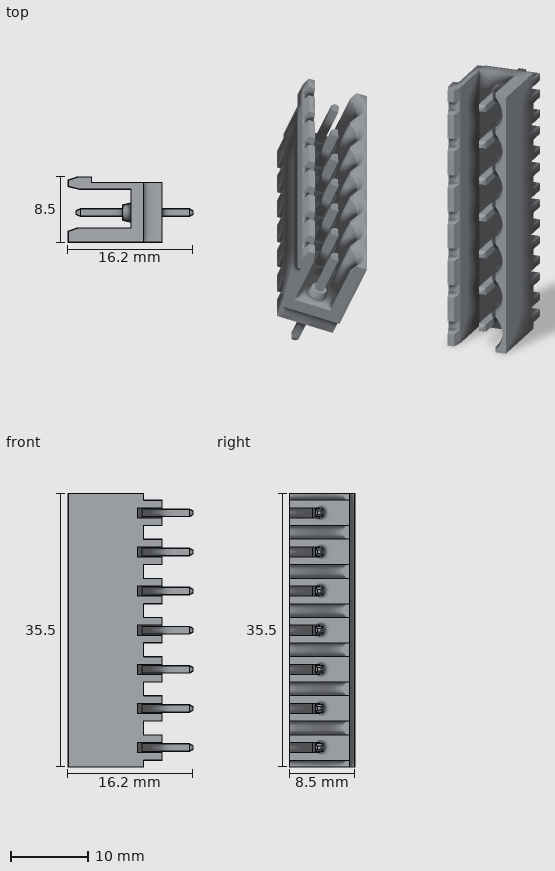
import cadquery as cq

LENGTH = 35.55
POLES = 7
PITCH = LENGTH / POLES
POLE_HEIGHTS = [PITCH * (pole + 0.5) for pole in range(POLES)]

BODY_DEPTH = 12.2
BODY_WIDTH = 7.8
FLOOR_X = 8.15
CAVITY_BOTTOM = 1.9
CAVITY_TOP = 6.9

LATCH_LENGTH = 3.02
LATCH_Y = 8.5
LATCH_LEAD = 1.2
LATCH_RIM_Y = 8.1
LATCH_INNER_LEAD = 1.45
LATCH_INNER_RIM_Y = 7.25

NOTCH_DEPTH = 1.2
NOTCH_MOUTH = 1.75
NOTCH_FLOOR = 1.4

SCALLOP_RADIUS = 3.0
SCALLOP_LEAD = 1.2
SCALLOP_FLARE = 0.43

TOOTH_ROOT_X = 9.78
TOOTH_HEIGHT = 3.3
SLOT_HEIGHT = 1.3
SLOT_X = 9.0
SLOT_STEP_X = 9.55

PIN_Y = 3.88
PIN_SIZE = 1.0
PIN_TIP_SIZE = 0.45
PIN_FRONT_X = 1.0
PIN_REAR_X = 16.2
FRONT_TIP_LENGTH = 0.57
REAR_TIP_LENGTH = 0.5
PIN_FRONT_FACE = PIN_Y - PIN_SIZE / 2
SLOT_STEP_INSET = 0.35
SLOT_STEP_DEPTH = PIN_FRONT_FACE - SLOT_STEP_INSET

COLLAR_X = 7.08
COLLAR_BASE_RADIUS = 1.25
COLLAR_TIP_RADIUS = 1.0


def box_between(x_range, y_range, z_range):
    """Box filling the given (low, high) ranges."""
    sizes = [high - low for low, high in (x_range, y_range, z_range)]
    corner = (x_range[0], y_range[0], z_range[0])
    return cq.Workplane("XY").box(*sizes, centered=False).translate(corner)


def centred_range(middle, size):
    return (middle - size / 2, middle + size / 2)


def cone_along_x(x_start, x_end, start_radius, end_radius, z):
    """Solid of revolution on a pin axis, with different radii at its two ends."""
    profile = [(x_start, 0), (x_start, start_radius), (x_end, end_radius), (x_end, 0)]
    cone = cq.Workplane("XY").polyline(profile).close().revolve(360, (0, 0, 0), (1, 0, 0))
    return cone.translate((0, PIN_Y, z))


def make_housing():
    """Channel section with a lead-in on both walls and the latch ridge."""
    outline = [
        (0, 0),
        (BODY_DEPTH, 0),
        (BODY_DEPTH, BODY_WIDTH),
        (LATCH_LENGTH, BODY_WIDTH),
        (LATCH_LENGTH, LATCH_Y),
        (LATCH_LEAD, LATCH_Y),
        (0, LATCH_RIM_Y),
        (0, LATCH_INNER_RIM_Y),
        (LATCH_INNER_LEAD, CAVITY_TOP),
        (FLOOR_X, CAVITY_TOP),
        (FLOOR_X, CAVITY_BOTTOM),
        (SCALLOP_LEAD, CAVITY_BOTTOM),
        (0, CAVITY_BOTTOM - SCALLOP_FLARE),
    ]
    return cq.Workplane("XY").polyline(outline).close().extrude(LENGTH)


def make_scallop(z):
    """Round groove with a flared mouth, limited to the lower wall of the cavity."""
    flared_radius = SCALLOP_RADIUS + SCALLOP_FLARE
    groove = cone_along_x(0, FLOOR_X, SCALLOP_RADIUS, SCALLOP_RADIUS, z)
    mouth = cone_along_x(0, SCALLOP_LEAD, flared_radius, SCALLOP_RADIUS, z)
    wall_side = box_between((0, FLOOR_X), (0, PIN_Y), centred_range(z, PITCH))
    return groove.union(mouth).intersect(wall_side)


def make_notch(z):
    """Notch through the latch wall, narrowing towards its floor."""
    profile = [
        (0, z - NOTCH_MOUTH / 2),
        (NOTCH_DEPTH, z - NOTCH_FLOOR / 2),
        (NOTCH_DEPTH, z + NOTCH_FLOOR / 2),
        (0, z + NOTCH_MOUTH / 2),
    ]
    notch = cq.Workplane("XZ", origin=(0, LATCH_Y, 0)).polyline(profile).close()
    return notch.extrude(LATCH_Y - CAVITY_TOP)


def make_tooth_gap(z_low, z_high):
    return box_between((TOOTH_ROOT_X, BODY_DEPTH), (0, BODY_WIDTH), (z_low, z_high))


def make_pin_slot(z):
    """Stepped slot from the -Y face, reaching half of the pin at the rear."""
    height = centred_range(z, SLOT_HEIGHT)
    shallow = box_between((SLOT_X, BODY_DEPTH), (0, SLOT_STEP_DEPTH), height)
    deep = box_between((SLOT_STEP_X, BODY_DEPTH), (0, PIN_Y), height)
    return shallow.union(deep)


def make_pin_tip(shoulder_x, end_x, z):
    """Square taper from the pin shoulder to the pin end."""
    tip = cq.Workplane("YZ", origin=(shoulder_x, PIN_Y, z)).rect(PIN_SIZE, PIN_SIZE)
    tip = tip.workplane(offset=end_x - shoulder_x).rect(PIN_TIP_SIZE, PIN_TIP_SIZE)
    return tip.loft(ruled=True)


def make_pin(z):
    """Square pin with tapered ends, and its collar."""
    front_shoulder = PIN_FRONT_X + FRONT_TIP_LENGTH
    rear_shoulder = PIN_REAR_X - REAR_TIP_LENGTH
    shank = box_between(
        (front_shoulder, rear_shoulder), centred_range(PIN_Y, PIN_SIZE), centred_range(z, PIN_SIZE)
    )
    pin = shank.union(make_pin_tip(front_shoulder, PIN_FRONT_X, z))
    pin = pin.union(make_pin_tip(rear_shoulder, PIN_REAR_X, z))
    return pin.union(cone_along_x(COLLAR_X, FLOOR_X, COLLAR_TIP_RADIUS, COLLAR_BASE_RADIUS, z))


result = make_housing()
for pole_z in POLE_HEIGHTS:
    tooth_low, tooth_high = centred_range(pole_z, TOOTH_HEIGHT)
    result = result.cut(make_scallop(pole_z))
    result = result.cut(make_notch(pole_z))
    result = result.cut(make_tooth_gap(pole_z - PITCH / 2, tooth_low))
    result = result.cut(make_tooth_gap(tooth_high, pole_z + PITCH / 2))
    result = result.cut(make_pin_slot(pole_z))
for pole_z in POLE_HEIGHTS:
    result = result.union(make_pin(pole_z))